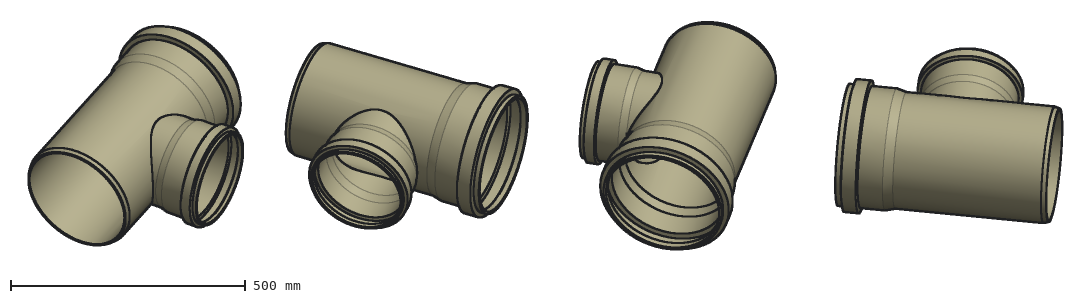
import cadquery as cq


length = 453.0
run_outer_d = 250.5
run_bore_d = 236.5
run_socket_d = 262.5
run_bead_d = 285.5
run_socket_bore_d = 251.0
spigot_chamfer_length = 10.5
spigot_chamfer_depth = 3.5
run_bead_start = 12.0
run_bead_end = 48.5
run_bead_slope = 2.5
run_socket_depth = 102.0
run_cone_end = 123.0

branch_outer_d = 200.5
branch_bore_d = 189.5
branch_socket_d = 209.7
branch_bead_d = 225.5
branch_socket_bore_d = 201.0
branch_tilt = 2.5
branch_offset = -25.5
branch_length = 228.0
branch_bead_start = 8.5
branch_bead_end = 35.5
branch_bead_slope = 2.3
branch_socket_depth = 84.0
branch_cone_end = 100.5


def socket_pipe(pipe_r, socket_r, bead_r, bead_start, bead_end, bead_slope, socket_depth, cone_end, total):
    """Solid of revolution about local Z, with its mouth at Z = 0 and its pipe running to -total."""
    outline = [
        (0, 0),
        (socket_r, 0),
        (socket_r, -bead_start),
        (bead_r, -bead_start - bead_slope),
        (bead_r, -bead_end + bead_slope),
        (socket_r, -bead_end),
        (socket_r, -socket_depth),
        (pipe_r, -cone_end),
        (pipe_r, -total),
        (0, -total),
    ]
    return cq.Workplane("XZ").polyline(outline).close().revolve(360, (0, 0), (0, 1))


def run_pipe(pipe_d, wall):
    """Envelope of the run, thinned by the wall of its socket."""
    pipe = socket_pipe(
        pipe_d / 2, run_socket_d / 2 - wall, run_bead_d / 2 - wall, run_bead_start + wall / 2,
        run_bead_end - wall / 2, run_bead_slope, run_socket_depth, run_cone_end, length)
    return pipe.rotate((0, 0, 0), (1, 0, 0), -90).translate((0, length / 2, 0))


def branch_pipe(pipe_d, wall):
    """Envelope of the branch, thinned by the wall of its socket and ending on the run axis."""
    pipe = socket_pipe(
        pipe_d / 2, branch_socket_d / 2 - wall, branch_bead_d / 2 - wall, branch_bead_start + wall / 2,
        branch_bead_end - wall / 2, branch_bead_slope, branch_socket_depth - wall / 2,
        branch_cone_end, branch_length)
    pipe = pipe.rotate((0, 0, 0), (0, 1, 0), 90).translate((branch_length, 0, 0))
    return pipe.rotate((0, 0, 0), (0, 0, 1), branch_tilt).translate((0, branch_offset, 0))


def spigot_chamfer():
    """Ring of material removed around the outside of the plain end."""
    end_y = -length / 2
    outer_r = run_outer_d / 2
    corner = [
        (outer_r - spigot_chamfer_depth, end_y),
        (outer_r, end_y + spigot_chamfer_length),
        (outer_r + spigot_chamfer_depth, end_y + spigot_chamfer_length),
        (outer_r + spigot_chamfer_depth, end_y),
    ]
    return cq.Workplane("XY").polyline(corner).close().revolve(360, (0, 0), (0, 1))


run_socket_wall = (run_socket_d - run_socket_bore_d) / 2
branch_socket_wall = (branch_socket_d - branch_socket_bore_d) / 2

run_outside = run_pipe(run_outer_d, 0).cut(spigot_chamfer())
branch_outside = branch_pipe(branch_outer_d, 0)

run_inside = run_pipe(run_bore_d, run_socket_wall)
branch_inside = branch_pipe(branch_bore_d, branch_socket_wall)

result = run_outside.union(branch_outside).cut(run_inside).cut(branch_inside)